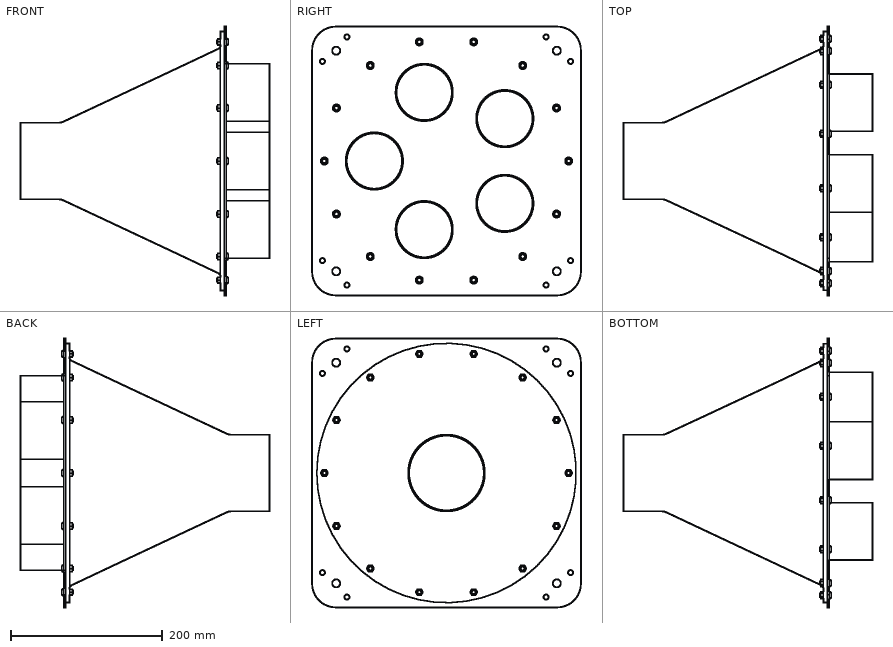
import cadquery as cq
import math

total_length = 329.5
plate_side = 355.5

plate_thickness = 2.5
plate_corner_radius = 31.5
corner_hole_diameter = 10.3
corner_hole_offset = 145.8
small_hole_diameter = 6.5
small_hole_near_offset = 131.5
small_hole_far_offset = 164.0

pipe_count = 5
pipe_length = 57.5
pipe_outer_diameter = 76.0
pipe_inner_diameter = 73.0
pipe_circle_radius = 95.3

wall = 1.6
inlet_outer_diameter = 101.7
inlet_length = 51.5
inlet_bend_radius = 11.7
cone_half_angle = 25.2
mouth_bend_radius = 5.7
flange_diameter = 342.8
flange_thickness = 5.0

screw_count = 14
screw_circle_radius = 161.5
screw_diameter = 5.0
screw_tip_length = 5.0
nut_across_flats = 8.2
nut_chamfer_angle = 30.0
nut_height = 4.0
head_diameter = 9.5
head_height = 3.0
head_top_diameter = 5.7
head_bulge = 0.5

plate_back = total_length - pipe_length
plate_front = plate_back - plate_thickness
flange_front = plate_front - flange_thickness

cone_angle = math.radians(cone_half_angle)
cone_slope = math.tan(cone_angle)
inlet_radius = inlet_outer_diameter / 2
inlet_tangent = inlet_bend_radius * math.tan(cone_angle / 2)
mouth_tangent = mouth_bend_radius * math.tan((math.pi / 2 - cone_angle) / 2)
cone_corner_radius = inlet_radius + (flange_front - inlet_length - inlet_tangent) * cone_slope


def disc(start, length, diameter):
    """Round bar along X."""
    return cq.Workplane("YZ", origin=(start, 0, 0)).circle(diameter / 2).extrude(length)


def revolve_about_x(profile):
    """Solid of revolution of an open profile that starts and ends on the X axis."""
    return profile.close().revolve(360, (0, 0, 0), (1, 0, 0))


def inlet_and_bend(radius, bend_radius):
    """Open profile up the inlet end, along the inlet and round the bend into the cone."""
    bend_end_x = inlet_length + bend_radius * math.sin(cone_angle)
    bend_end_r = radius + bend_radius * (1 - math.cos(cone_angle))
    return (
        cq.Workplane("XY")
        .lineTo(0, radius)
        .lineTo(inlet_length, radius)
        .tangentArcPoint((bend_end_x, bend_end_r), relative=False)
    )


def make_funnel():
    mouth_radius = cone_corner_radius + mouth_tangent
    cone_end_x = flange_front - mouth_tangent * math.cos(cone_angle)
    cone_end_r = cone_corner_radius - mouth_tangent * math.sin(cone_angle)
    outside = revolve_about_x(
        inlet_and_bend(inlet_radius, inlet_bend_radius)
        .lineTo(cone_end_x, cone_end_r)
        .tangentArcPoint((flange_front, mouth_radius), relative=False)
        .lineTo(flange_front, 0)
    )

    bore_end_r = cone_corner_radius + flange_thickness * cone_slope - wall / math.cos(cone_angle)
    inside = revolve_about_x(
        inlet_and_bend(inlet_radius - wall, inlet_bend_radius + wall)
        .lineTo(plate_front, bore_end_r)
        .lineTo(plate_front, 0)
    )
    flange = disc(flange_front, flange_thickness, flange_diameter)
    return outside.union(flange).cut(inside)


def make_plate():
    plate = (
        cq.Workplane("YZ", origin=(plate_front, 0, 0))
        .rect(plate_side, plate_side)
        .extrude(plate_thickness)
        .edges("|X")
        .fillet(plate_corner_radius)
    )
    near, far = small_hole_near_offset, small_hole_far_offset
    corner_holes = []
    small_holes = []
    for y_sign in (-1, 1):
        for z_sign in (-1, 1):
            corner_holes.append((y_sign * corner_hole_offset, z_sign * corner_hole_offset))
            small_holes.append((y_sign * near, z_sign * far))
            small_holes.append((y_sign * far, z_sign * near))
    for centers, diameter in ((corner_holes, corner_hole_diameter), (small_holes, small_hole_diameter)):
        face = cq.Workplane("YZ", origin=(plate_front, 0, 0))
        plate = plate.cut(face.pushPoints(centers).circle(diameter / 2).extrude(plate_thickness))
    return plate


def on_circle(shape, radius, count):
    """Copies of a shape evenly spaced about X, the first one on the -Y side."""
    placed = shape.translate((0, -radius, 0))
    turns = [index * 360 / count for index in range(count)]
    return [placed.rotate((0, 0, 0), (1, 0, 0), turn) for turn in turns]


def make_screw():
    """Screw on the X axis with a domed head behind the plate and its tip ahead of the flange."""
    tip = flange_front - screw_tip_length
    shank = disc(tip, plate_back - tip, screw_diameter)
    head_top = plate_back + head_height
    dome_middle = (
        plate_back + head_height / 2 + head_bulge,
        (head_diameter + head_top_diameter) / 4 + head_bulge,
    )
    head = revolve_about_x(
        cq.Workplane("XY")
        .moveTo(plate_back, 0)
        .lineTo(plate_back, head_diameter / 2)
        .threePointArc(dome_middle, (head_top, head_top_diameter / 2))
        .lineTo(head_top, 0)
    )
    return shank.union(head)


def make_nut():
    """Hexagon nut on the X axis with two level flats and its outer corners chamfered."""
    nut_front = flange_front - nut_height
    across_corners = nut_across_flats / math.cos(math.pi / 6)
    hexagon = (
        cq.Workplane("YZ", origin=(nut_front, 0, 0))
        .polygon(6, across_corners)
        .extrude(nut_height)
    )
    chamfer_rise = nut_height / math.tan(math.radians(nut_chamfer_angle))
    chamfer_cone = revolve_about_x(
        cq.Workplane("XY")
        .moveTo(nut_front, 0)
        .lineTo(nut_front, nut_across_flats / 2)
        .lineTo(flange_front, nut_across_flats / 2 + chamfer_rise)
        .lineTo(flange_front, 0)
    )
    return hexagon.intersect(chamfer_cone)


def nuts_on_circle():
    """Nuts on the screw circle, shifted without turning so that their flats stay level."""
    nut = make_nut()
    nuts = []
    for index in range(screw_count):
        angle = 2 * math.pi * index / screw_count
        y = -screw_circle_radius * math.cos(angle)
        z = -screw_circle_radius * math.sin(angle)
        nuts.append(nut.translate((0, y, z)))
    return nuts


pipe_blank = disc(plate_back, pipe_length, pipe_outer_diameter)
pipe_bore = disc(plate_front, plate_thickness + pipe_length, pipe_inner_diameter)

result = make_funnel().union(make_plate())
for pipe in on_circle(pipe_blank, pipe_circle_radius, pipe_count):
    result = result.union(pipe)
for bore in on_circle(pipe_bore, pipe_circle_radius, pipe_count):
    result = result.cut(bore)
for fastener in on_circle(make_screw(), screw_circle_radius, screw_count) + nuts_on_circle():
    result = result.union(fastener)